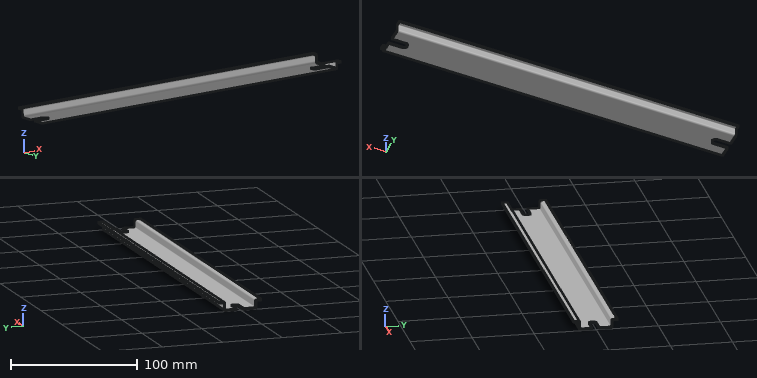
import cadquery as cq

length = 295.0
width = 35.0
height = 7.5

thickness = 1.0
channel_width = 27.0
inner_bend = 0.7
outer_bend = inner_bend + thickness

slot_width = 6.0
slot_depth = 14.8

half_width = width / 2
wall_outside = channel_width / 2
wall_inside = wall_outside - thickness


def make_rail():
    """Extrude the hat profile along X, then round its bends."""
    profile = [
        (-half_width, height),
        (-wall_inside, height),
        (-wall_inside, thickness),
        (wall_inside, thickness),
        (wall_inside, height),
        (half_width, height),
        (half_width, height - thickness),
        (wall_outside, height - thickness),
        (wall_outside, 0),
        (-wall_outside, 0),
        (-wall_outside, height - thickness),
        (-half_width, height - thickness),
    ]
    rail = cq.Workplane("YZ").polyline(profile).close().extrude(length / 2, both=True)

    outer_corners = [(wall_inside, height), (wall_outside, 0)]
    inner_corners = [(wall_outside, height - thickness), (wall_inside, thickness)]
    for corners, radius in ((outer_corners, outer_bend), (inner_corners, inner_bend)):
        for y, z in corners:
            for side in (-1, 1):
                bend_edge = cq.selectors.NearestToPointSelector((0, side * y, z))
                rail = rail.edges("|X").edges(bend_edge).fillet(radius)
    return rail


def make_end_slot(side):
    """Cutter for the round-bottomed slot at one end (side is -1 or 1)."""
    return (
        cq.Workplane("XY")
        .center(side * length / 2, 0)
        .slot2D(2 * slot_depth, slot_width)
        .extrude(height)
    )


result = make_rail()
for end in (-1, 1):
    result = result.cut(make_end_slot(end))